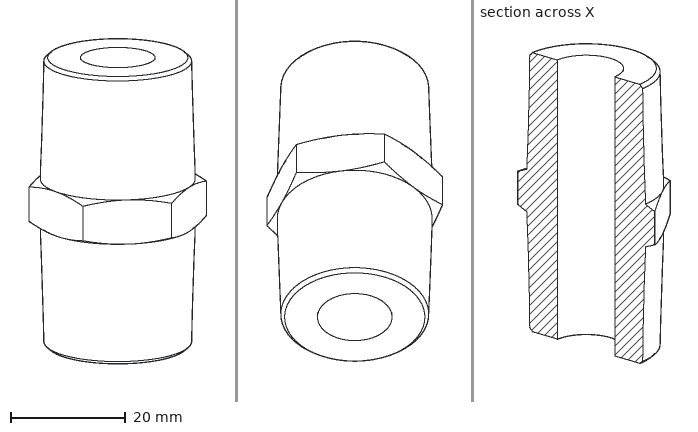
import cadquery as cq
import math

length = 52.0
hex_flats = 27.0
hex_height = 8.0
bore_diameter = 13.0

collar_radius = hex_flats / 2
collar_length = 1.65
tip_radius = 12.9
chamfer_width = 0.7
chamfer_length = 0.6

bevel_angle = 23.0

half_length = length / 2
half_hex = hex_height / 2
hex_corner_radius = hex_flats / math.sqrt(3)


def make_hexagon():
    """Hexagon with corners on the Y axis and both faces bevelled."""
    prism = (
        cq.Workplane("XY")
        .polygon(6, 2 * hex_corner_radius)
        .extrude(hex_height)
        .translate((0, 0, -half_hex))
        .rotate((0, 0, 0), (0, 0, 1), 90)
    )
    bevel_drop = (hex_corner_radius - collar_radius) * math.tan(math.radians(bevel_angle))
    envelope = (
        cq.Workplane("XZ")
        .moveTo(0, -half_hex)
        .lineTo(collar_radius, -half_hex)
        .lineTo(hex_corner_radius, -half_hex + bevel_drop)
        .lineTo(hex_corner_radius, half_hex - bevel_drop)
        .lineTo(collar_radius, half_hex)
        .lineTo(0, half_hex)
        .close()
        .revolve(360, (0, 0, 0), (0, 1, 0))
    )
    return prism.intersect(envelope)


def make_upper_end():
    """Tapered male end, from the middle of the part up to its tip."""
    return (
        cq.Workplane("XZ")
        .lineTo(collar_radius, 0)
        .lineTo(collar_radius, half_hex + collar_length)
        .lineTo(tip_radius, half_length - chamfer_length)
        .lineTo(tip_radius - chamfer_width, half_length)
        .lineTo(0, half_length)
        .close()
        .revolve(360, (0, 0, 0), (0, 1, 0))
    )


upper_end = make_upper_end()
lower_end = upper_end.mirror("XY")
bore = cq.Workplane("XY").circle(bore_diameter / 2).extrude(half_length, both=True)

result = make_hexagon().union(upper_end).union(lower_end).cut(bore)